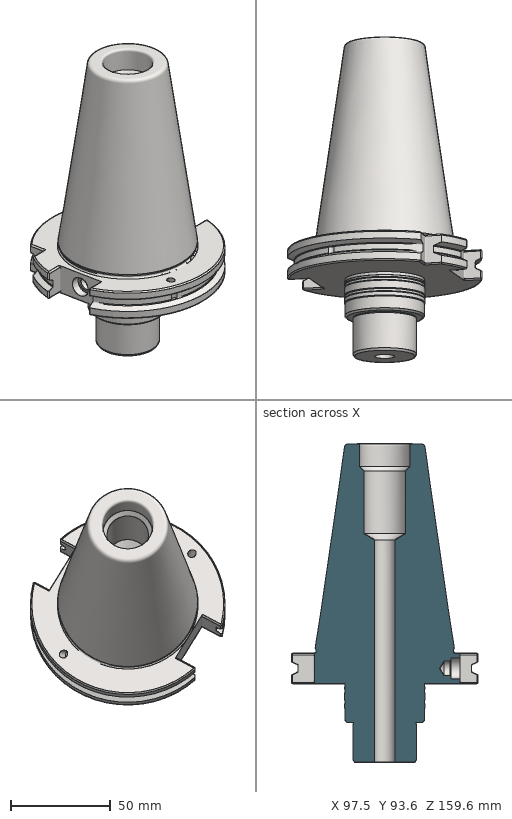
import cadquery as cq
import math

GAUGE_DIA = 69.85
TAPER_LENGTH = 101.75
TAPER_RATE = 7 / 24
OVERALL_LENGTH = 159.6
TAPER_EDGE_RADIUS = 2.0
SMALL_END_DIA = GAUGE_DIA - TAPER_RATE * TAPER_LENGTH
TAIL_END_Z = TAPER_LENGTH - OVERALL_LENGTH

RELIEF_START_Z = -0.7
RELIEF_DIA = 69.1
RELIEF_CONE_HEIGHT = 1.0
FLANGE_FILLET = 0.75

FLANGE_DIA = 97.5
FLANGE_TOP_Z = -3.2
FLANGE_BOTTOM_Z = -18.6
FLANGE_EDGE_CHAMFER = 0.7
GROOVE_Z = -10.85
GROOVE_FLOOR_DIA = 90.8
GROOVE_FLOOR_WIDTH = 3.54
GROOVE_FLOOR_FILLET = 0.5
GROOVE_MOUTH_WIDTH = 6.9

SLOT_WIDTH = 25.7
SLOT_EDGE_CHAMFER = 0.82
SLOT_CORNER_RADIUS = 0.35
FRONT_SLOT_FLOOR_Y = -37.7
REAR_SLOT_FLOOR_Y = 35.3
NOTCH_X = -30.0
NOTCH_Y = -30.0
NOTCH_EDGE_CHAMFER = 0.8
NOTCH_CORNER_RADIUS = 0.4
PICK_MARGIN = 0.05

COLLAR_DIA = 40.0
BAND_DIA = 40.5
SHANK_DIA = 32.0
SHANK_NECK_DIA = 31.5
SHANK_NECK_TOP_Z = TAIL_END_Z + 19.8
SHANK_NECK_BOTTOM_Z = SHANK_NECK_TOP_Z - 0.6
COLLAR_CHAMFER = 1.0
SHANK_CHAMFER_HEIGHT = 1.2
SHANK_CHAMFER_DEPTH = 0.8
BAND_BOTTOM_Z = TAIL_END_Z + 26.8
BAND_TOP_Z = TAIL_END_Z + 37.7
BAND_FLANK_HEIGHT = 0.45
BAND_GROOVE_CENTERS = (TAIL_END_Z + 30.1, TAIL_END_Z + 35.8)
BAND_GROOVE_WIDTH = 2.0

THROUGH_DIA = 10.0
COUNTERBORE_DIA = 25.0
COUNTERBORE_DEPTH = 11.5
MOUTH_RADIUS = 1.25
THREAD_CORE_DIA = 20.75
THREAD_CORE_DEPTH = 45.0
DRILL_POINT_ANGLE = 118.0

SIDE_HOLE_DIA = 7.0
SIDE_HOLE_DEPTH = 8.0
SIDE_COUNTERBORE_DIA = 10.11
SIDE_COUNTERBORE_DEPTH = 4.5
SIDE_CHAMFER = 0.5

COOLANT_DIA = 3.9
COOLANT_RADIUS = 42.1
COOLANT_ANGLES = (160.0, 340.0)
COOLANT_TILT = 28.0
COOLANT_DEPTH = 8.0

RECESS_DIA = 3.24


def revolved(points):
    """Solid of revolution about Z from (radius, z) points."""
    return cq.Workplane("XZ").polyline(points).close().revolve(360, (0, 0, 0), (0, 1, 0))


def cylinder(diameter, bottom_z, top_z):
    return cq.Workplane("XY").workplane(offset=bottom_z).circle(diameter / 2).extrude(top_z - bottom_z)


def taper():
    relief_r = RELIEF_DIA / 2
    start_r = (GAUGE_DIA - TAPER_RATE * RELIEF_START_Z) / 2
    body = revolved([
        (0, FLANGE_TOP_Z),
        (relief_r, FLANGE_TOP_Z),
        (relief_r, RELIEF_START_Z - RELIEF_CONE_HEIGHT),
        (start_r, RELIEF_START_Z),
        (SMALL_END_DIA / 2, TAPER_LENGTH),
        (0, TAPER_LENGTH),
    ])
    return body.faces(">Z").edges().fillet(TAPER_EDGE_RADIUS)


def box_cut(x_min, x_max, y_min, y_max):
    height = FLANGE_TOP_Z - FLANGE_BOTTOM_Z
    return (
        cq.Workplane("XY", origin=((x_min + x_max) / 2, (y_min + y_max) / 2, FLANGE_BOTTOM_Z))
        .box(x_max - x_min, y_max - y_min, height, centered=(True, True, False))
    )


def edges_inside(x_min, x_max, y_min, y_max):
    """Selector for the edges whose midpoint lies in a plan rectangle."""
    reach = OVERALL_LENGTH
    return cq.selectors.BoxSelector((x_min, y_min, -reach), (x_max, y_max, reach))


def corner_edge(x, y):
    """Selector for the upright edge at a plan position."""
    return edges_inside(x - PICK_MARGIN, x + PICK_MARGIN, y - PICK_MARGIN, y + PICK_MARGIN)


def cut_drive_slot(body, floor_y):
    half = SLOT_WIDTH / 2
    outer_y = math.copysign(FLANGE_DIA, floor_y)
    body = body.cut(box_cut(-half, half, min(floor_y, outer_y), max(floor_y, outer_y)))
    for wall_x in (-half, half):
        start_y = floor_y + math.copysign(PICK_MARGIN, floor_y)
        wall_edges = edges_inside(
            wall_x - PICK_MARGIN,
            wall_x + PICK_MARGIN,
            min(start_y, outer_y),
            max(start_y, outer_y),
        )
        body = body.edges(wall_edges).chamfer(SLOT_EDGE_CHAMFER)
        body = body.edges("|Z").edges(corner_edge(wall_x, floor_y)).fillet(SLOT_CORNER_RADIUS)
    return body


def cut_notch(body):
    outer = -FLANGE_DIA
    body = body.cut(box_cut(outer, NOTCH_X, outer, NOTCH_Y))
    notch_edges = edges_inside(outer, NOTCH_X + PICK_MARGIN, outer, NOTCH_Y + PICK_MARGIN)
    body = body.edges("|X or |Y").edges(notch_edges).chamfer(NOTCH_EDGE_CHAMFER)
    return body.edges("|Z").edges(corner_edge(NOTCH_X, NOTCH_Y)).fillet(NOTCH_CORNER_RADIUS)


def gripper_groove():
    floor_r = GROOVE_FLOOR_DIA / 2
    rim_r = FLANGE_DIA / 2
    outside_r = rim_r + GROOVE_MOUTH_WIDTH
    half_floor = GROOVE_FLOOR_WIDTH / 2
    half_mouth = GROOVE_MOUTH_WIDTH / 2
    ring = revolved([
        (floor_r, GROOVE_Z - half_floor),
        (rim_r, GROOVE_Z - half_mouth),
        (outside_r, GROOVE_Z - half_mouth),
        (outside_r, GROOVE_Z + half_mouth),
        (rim_r, GROOVE_Z + half_mouth),
        (floor_r, GROOVE_Z + half_floor),
    ])
    floor_edges = ring.edges(cq.selectors.RadiusNthSelector(0))
    return floor_edges.fillet(GROOVE_FLOOR_FILLET)


def flange():
    disc = cylinder(FLANGE_DIA, FLANGE_BOTTOM_Z, FLANGE_TOP_Z)
    body = cut_drive_slot(disc, FRONT_SLOT_FLOOR_Y)
    body = cut_drive_slot(body, REAR_SLOT_FLOOR_Y)
    body = cut_notch(body)
    rim = disc.edges().chamfer(FLANGE_EDGE_CHAMFER)
    return body.intersect(rim).cut(gripper_groove())


def relief_fillet():
    """Ring with a concave quarter-round joining the relief to the flange face."""
    relief_r = RELIEF_DIA / 2
    sag = FLANGE_FILLET * (1 - math.sqrt(0.5))
    return (
        cq.Workplane("XZ")
        .moveTo(relief_r, FLANGE_TOP_Z)
        .lineTo(relief_r + FLANGE_FILLET, FLANGE_TOP_Z)
        .threePointArc(
            (relief_r + sag, FLANGE_TOP_Z + sag),
            (relief_r, FLANGE_TOP_Z + FLANGE_FILLET),
        )
        .close()
        .revolve(360, (0, 0, 0), (0, 1, 0))
    )


def raised_band():
    collar_r = COLLAR_DIA / 2
    band_r = BAND_DIA / 2
    band = revolved([
        (0, BAND_BOTTOM_Z),
        (collar_r, BAND_BOTTOM_Z),
        (band_r, BAND_BOTTOM_Z + BAND_FLANK_HEIGHT),
        (band_r, BAND_TOP_Z),
        (0, BAND_TOP_Z),
    ])
    half_width = BAND_GROOVE_WIDTH / 2
    half_floor = half_width - BAND_FLANK_HEIGHT
    for center in BAND_GROOVE_CENTERS:
        band = band.cut(revolved([
            (collar_r, center - half_floor),
            (band_r, center - half_width),
            (band_r, center + half_width),
            (collar_r, center + half_floor),
        ]))
    return band


def tail():
    collar = cylinder(COLLAR_DIA, SHANK_NECK_TOP_Z, FLANGE_BOTTOM_Z)
    collar = collar.faces("<Z").edges().chamfer(COLLAR_CHAMFER)
    shank = revolved([
        (0, TAIL_END_Z),
        (SHANK_DIA / 2 - SHANK_CHAMFER_DEPTH, TAIL_END_Z),
        (SHANK_DIA / 2, TAIL_END_Z + SHANK_CHAMFER_HEIGHT),
        (SHANK_DIA / 2, SHANK_NECK_BOTTOM_Z),
        (SHANK_NECK_DIA / 2, SHANK_NECK_TOP_Z),
        (0, SHANK_NECK_TOP_Z),
    ])
    body = collar.union(shank)
    return body.union(raised_band())


def axial_bore():
    through_r = THROUGH_DIA / 2
    core_r = THREAD_CORE_DIA / 2
    counterbore_r = COUNTERBORE_DIA / 2
    slope = math.tan(math.radians(DRILL_POINT_ANGLE / 2))
    core_z = TAPER_LENGTH - THREAD_CORE_DEPTH
    step_z = TAPER_LENGTH - COUNTERBORE_DEPTH
    return revolved([
        (0, TAIL_END_Z),
        (through_r, TAIL_END_Z),
        (through_r, core_z - (core_r - through_r) / slope),
        (core_r, core_z),
        (core_r, step_z - (counterbore_r - core_r)),
        (counterbore_r, step_z),
        (counterbore_r, TAPER_LENGTH),
        (0, TAPER_LENGTH),
    ])


def side_hole():
    hole_r = SIDE_HOLE_DIA / 2
    point = hole_r / math.tan(math.radians(DRILL_POINT_ANGLE / 2))
    bore = (
        cq.Workplane("XY")
        .polyline([
            (0, 0),
            (SIDE_COUNTERBORE_DIA / 2, 0),
            (SIDE_COUNTERBORE_DIA / 2, SIDE_COUNTERBORE_DEPTH),
            (hole_r + SIDE_CHAMFER, SIDE_COUNTERBORE_DEPTH),
            (hole_r, SIDE_COUNTERBORE_DEPTH + SIDE_CHAMFER),
            (hole_r, SIDE_HOLE_DEPTH),
            (0, SIDE_HOLE_DEPTH + point),
        ])
        .close()
        .revolve(360, (0, 0, 0), (0, 1, 0))
    )
    return bore.translate((0, FRONT_SLOT_FLOOR_Y, GROOVE_Z))


def coolant_hole(angle):
    tilt = math.radians(COOLANT_TILT)
    direction = cq.Vector(-math.sin(tilt), 0, -math.cos(tilt))
    entry = cq.Vector(COOLANT_RADIUS, 0, FLANGE_TOP_Z)
    start = entry - direction * COOLANT_DIA
    bore = cq.Solid.makeCylinder(COOLANT_DIA / 2, COOLANT_DIA + COOLANT_DEPTH, start, direction)
    return cq.Workplane(bore).rotate((0, 0, 0), (0, 0, 1), angle)


def groove_recess(angle):
    half_height = GROOVE_FLOOR_WIDTH / 2
    recess = cylinder(RECESS_DIA, GROOVE_Z - half_height, GROOVE_Z + half_height)
    recess = recess.translate((GROOVE_FLOOR_DIA / 2, 0, 0))
    return recess.rotate((0, 0, 0), (0, 0, 1), angle)


def round_bore_mouth(body):
    mouth = body.faces(">Z").edges(cq.selectors.RadiusNthSelector(0))
    return mouth.fillet(MOUTH_RADIUS)


body = flange().union(taper()).union(relief_fillet()).union(tail())
body = round_bore_mouth(body.cut(axial_bore()))
body = body.cut(side_hole())
for hole_angle in COOLANT_ANGLES:
    body = body.cut(coolant_hole(hole_angle)).cut(groove_recess(hole_angle))

result = body